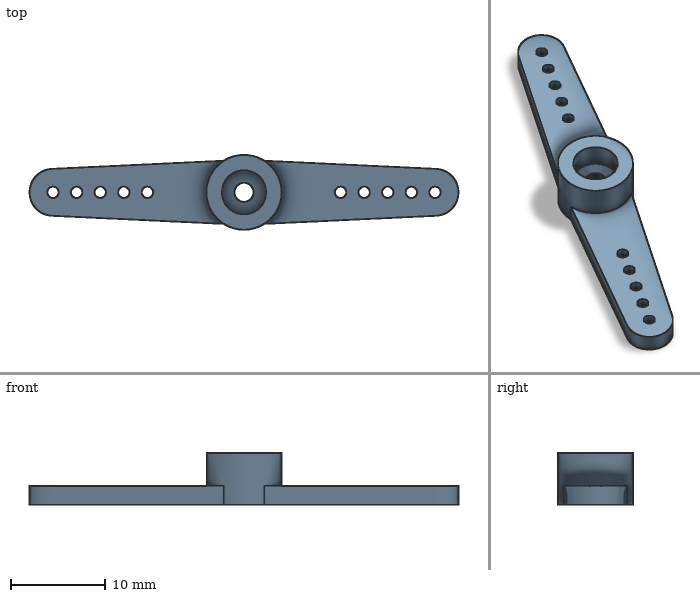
import cadquery as cq
import math

LENGTH = 45.6
HEIGHT = 5.5
ARM_THICKNESS = 2.0

HUB_DIAMETER = 8.0
SOCKET_DIAMETER = 4.7
SCREW_HOLE_DIAMETER = 2.0
SOCKET_FLOOR = 2.9

TIP_RADIUS = 2.5
ROOT_X = 2.15
HUB_RADIUS = HUB_DIAMETER / 2
ROOT_Y = math.sqrt(HUB_RADIUS**2 - ROOT_X**2)
TIP_CENTER_X = LENGTH / 2 - TIP_RADIUS

LINK_HOLE_DIAMETER = 1.2
LINK_HOLE_COUNT = 5
LINK_HOLE_PITCH = 2.5


def tip_tangent_point():
    """Point where the upper straight side meets the tip arc tangentially."""
    run = TIP_CENTER_X - ROOT_X
    distance = math.hypot(run, ROOT_Y)
    angle = math.atan2(ROOT_Y, -run) - math.acos(TIP_RADIUS / distance)
    return (
        TIP_CENTER_X + TIP_RADIUS * math.cos(angle),
        TIP_RADIUS * math.sin(angle),
    )


def make_arms():
    x, y = tip_tangent_point()
    return (
        cq.Workplane("XY")
        .moveTo(-ROOT_X, ROOT_Y)
        .lineTo(ROOT_X, ROOT_Y)
        .lineTo(x, y)
        .threePointArc((LENGTH / 2, 0), (x, -y))
        .lineTo(ROOT_X, -ROOT_Y)
        .lineTo(-ROOT_X, -ROOT_Y)
        .lineTo(-x, -y)
        .threePointArc((-LENGTH / 2, 0), (-x, y))
        .close()
        .extrude(ARM_THICKNESS)
    )


def make_hub():
    return cq.Workplane("XY").circle(HUB_RADIUS).extrude(HEIGHT)


def make_hub_bore():
    socket = (
        cq.Workplane("XY")
        .workplane(offset=SOCKET_FLOOR)
        .circle(SOCKET_DIAMETER / 2)
        .extrude(HEIGHT - SOCKET_FLOOR)
    )
    screw_hole = cq.Workplane("XY").circle(SCREW_HOLE_DIAMETER / 2).extrude(HEIGHT)
    return socket.union(screw_hole)


def make_link_holes():
    centers = [
        (side * (TIP_CENTER_X - i * LINK_HOLE_PITCH), 0)
        for side in (-1, 1)
        for i in range(LINK_HOLE_COUNT)
    ]
    return (
        cq.Workplane("XY")
        .pushPoints(centers)
        .circle(LINK_HOLE_DIAMETER / 2)
        .extrude(ARM_THICKNESS)
    )


result = make_arms().union(make_hub()).cut(make_hub_bore()).cut(make_link_holes())